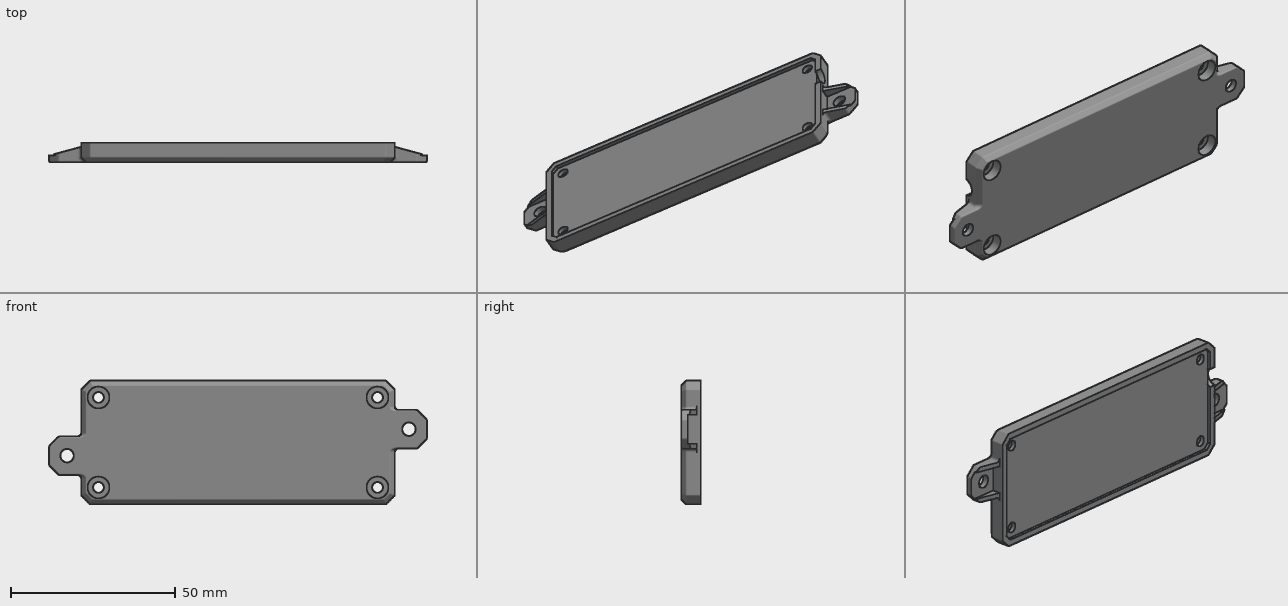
import cadquery as cq
import math

total_length = 115.0
body_length = 95.5
body_height = 37.7
thickness = 6.0
corner_chamfer = 2.8
front_chamfer = 1.5
front_blend = 0.52
outer_blend = 0.7

ear_height = 11.8
ear_offset = 4.0
ear_thickness = 2.1
rib_root_thickness = 4.7
rib_width = 1.5
ear_corner_chamfer = 3.0
ear_corner_fillet = 1.0
ear_root_fillet = 1.0
ear_hole_diameter = 4.0
ear_hole_from_tip = 5.5

screw_x = 42.4
screw_z = 13.7
screw_diameter = 3.2
head_diameter = 6.7
head_depth = 3.5

wall = 2.0
recess_depth = 1.0
notch_radius = 3.0
notch_z = 6.7
notch_depth = 2.6

body_end = body_length / 2
ear_tip = total_length / 2
ear_length = ear_tip - body_end
ear_reach = ear_offset + ear_height / 2
tolerance = 0.01


def half_turn(shape):
    return shape.rotate((0, 0, 0), (0, 1, 0), 180)


def both_ends(shape):
    return shape.union(half_turn(shape))


def hole(x, z, diameter, depth):
    """Cylinder running from the front plane toward +Y."""
    return cq.Workplane("XZ").center(x, z).circle(diameter / 2).extrude(-depth)


def make_body():
    """Plate with chamfered corners and a chamfer around its front face."""
    body = cq.Workplane("XZ").rect(body_length, body_height).extrude(-thickness)
    body = body.edges("|Y").chamfer(corner_chamfer)
    return body.faces("<Y").edges().chamfer(front_chamfer)


def make_ear():
    """Full-thickness block of the right-hand ear, reaching inside the body."""
    embedded_length = 2 * front_chamfer
    ear = cq.Workplane("XY").box(
        ear_length + embedded_length, thickness, ear_height, centered=(False, False, True)
    )
    ear = ear.edges("|Y and >X").chamfer(ear_corner_chamfer)
    ear = ear.edges("|Y and (not <X)").fillet(ear_corner_fillet)
    return ear.translate((body_end - embedded_length, 0, ear_offset))


def is_flat(edge):
    """True for edges that keep a constant Y."""
    return edge.BoundingBox().ylen < tolerance


def is_ear_root(edge):
    """True for the inside corners where the sides of an ear meet the body."""
    center = edge.Center()
    beside_body_end = body_end - front_chamfer - tolerance < abs(center.x) < body_end + tolerance
    within_ears = abs(center.z) < ear_reach + tolerance
    return beside_body_end and within_ears and not is_flat(edge)


def is_outer_edge(edge):
    """True for the plate's corner edges and the outer rim of its front chamfer."""
    center = edge.Center()
    if is_flat(edge):
        return abs(center.y - front_chamfer) < tolerance
    return abs(center.z) > ear_reach + ear_root_fillet and center.y > front_blend


def ear_back_clearance():
    """Material removed behind the right-hand ear, leaving a plate with two tapered ribs."""
    above_ribs = (
        cq.Workplane("XY")
        .moveTo(body_end, rib_root_thickness)
        .lineTo(ear_tip, ear_thickness)
        .lineTo(ear_tip, thickness)
        .lineTo(body_end, thickness)
        .close()
        .extrude(body_height, both=True)
    )
    between_ribs = cq.Workplane("XY").box(
        ear_length, thickness, ear_height - 2 * rib_width, centered=(False, False, True)
    )
    return above_ribs.union(between_ribs.translate((body_end, ear_thickness, ear_offset)))


def make_back_recess():
    """Shallow pocket that follows the plate outline inside a constant wall."""
    back_plane = cq.Workplane("XZ", origin=(0, thickness, 0))
    pocket = back_plane.rect(body_length - 2 * wall, body_height - 2 * wall).extrude(recess_depth)
    wall_corner_chamfer = corner_chamfer - wall * (2 - math.sqrt(2))
    return pocket.edges("|Y").chamfer(wall_corner_chamfer)


def make_notch():
    """Round cable notch through the left wall, open at the back."""
    notch_center_y = thickness - notch_depth + notch_radius
    return (
        cq.Workplane("YZ", origin=(-body_end, 0, 0))
        .center(notch_center_y, notch_z)
        .circle(notch_radius)
        .extrude(wall)
    )


result = make_body().union(both_ends(make_ear()))
result = result.edges().filter(is_ear_root).fillet(ear_root_fillet)
result = result.faces("<Y").edges().fillet(front_blend)
result = result.edges().filter(is_outer_edge).fillet(outer_blend)
result = result.cut(both_ends(ear_back_clearance()))

for x in (-screw_x, screw_x):
    for z in (-screw_z, screw_z):
        result = result.cut(hole(x, z, screw_diameter, thickness))
        result = result.cut(hole(x, z, head_diameter, head_depth))

ear_hole = hole(ear_tip - ear_hole_from_tip, ear_offset, ear_hole_diameter, thickness)
result = result.cut(ear_hole).cut(half_turn(ear_hole))

result = result.cut(make_back_recess()).cut(make_notch())